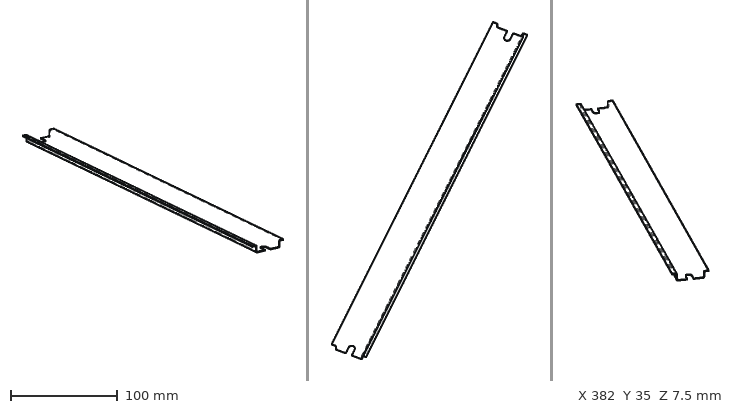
import cadquery as cq

length = 382.0
rail_width = 35.0
rail_height = 7.5
thickness = 1.0
channel_width = 27.0
inner_bend = 0.85
outer_bend = inner_bend + thickness

slot_width = 6.0
slot_depth = 10.0


def box_between(y_min, y_max, z_min, z_max):
    """Full-length bar filling the given Y and Z range, centred on X."""
    return cq.Workplane("XY").box(length, y_max - y_min, z_max - z_min).translate(
        (0, (y_min + y_max) / 2, (z_min + z_max) / 2)
    )


def make_rail():
    """Bent sheet: a floor, two webs and two outward flanges."""
    web_outside = channel_width / 2
    web_inside = web_outside - thickness
    flange_bottom = rail_height - thickness

    body = box_between(-web_outside, web_outside, 0, rail_height)
    body = body.edges("|X and <Z").fillet(outer_bend)
    flanges = box_between(-rail_width / 2, rail_width / 2, flange_bottom, rail_height)
    hat = body.union(flanges)
    under_flange = cq.selectors.BoxSelector(
        (-length, -web_outside - thickness / 2, flange_bottom - thickness / 2),
        (length, web_outside + thickness / 2, flange_bottom + thickness / 2),
    )
    hat = hat.edges("|X").edges(under_flange).fillet(inner_bend)

    channel = box_between(-web_inside, web_inside, thickness, rail_height)
    channel = channel.edges("|X and <Z").fillet(inner_bend)
    rail = hat.cut(channel)
    mouth = cq.selectors.BoxSelector(
        (-length, -web_outside, flange_bottom + thickness / 2),
        (length, web_outside, rail_height + thickness),
    )
    return rail.edges("|X").edges(mouth).fillet(outer_bend)


def make_end_slot(side):
    """Cutter for the slot at the -X (side = -1) or +X (side = 1) end."""
    slot = cq.Workplane("XY").slot2D(2 * slot_depth, slot_width).extrude(rail_height)
    return slot.translate((side * length / 2, 0, 0))


result = make_rail()
for end in (-1, 1):
    result = result.cut(make_end_slot(end))